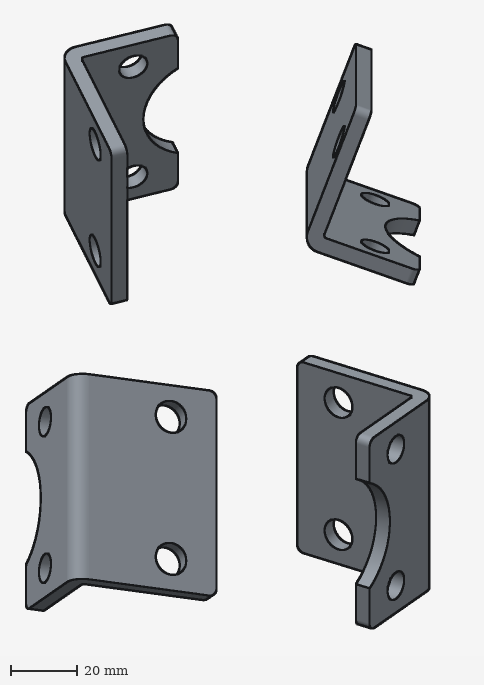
import cadquery as cq

width = 47.0
depth = 36.0
height = 65.0
thickness = 5.0

bend_outer_radius = thickness
bend_inner_radius = 1.0
corner_radius = 2.5

wide_hole_diameter = 10.0
wide_hole_x = 32.0
wide_hole_spacing = 45.0

short_hole_diameter = 9.0
short_hole_y = 21.7
short_hole_spacing = 46.4
cutout_radius = 20.0
cutout_center_y = 45.0

mid_height = height / 2


def make_angle():
    """L-shaped bent plate with the free corners of both legs rounded."""
    body = (
        cq.Workplane("XY")
        .polyline([
            (0, 0),
            (width, 0),
            (width, thickness),
            (thickness, thickness),
            (thickness, depth),
            (0, depth),
        ])
        .close()
        .extrude(height)
    )
    outer_bend = cq.selectors.NearestToPointSelector((0, 0, mid_height))
    inner_bend = cq.selectors.NearestToPointSelector((thickness, thickness, mid_height))
    body = body.edges(outer_bend).fillet(bend_outer_radius)
    body = body.edges(inner_bend).fillet(bend_inner_radius)
    body = body.faces(">X").edges("|Y").fillet(corner_radius)
    return body.faces(">Y").edges("|X").fillet(corner_radius)


def hole_heights(spacing):
    """Heights of a hole pair placed evenly about mid-height."""
    return [mid_height - spacing / 2, mid_height + spacing / 2]


def wide_leg_holes():
    centers = [(wide_hole_x, z) for z in hole_heights(wide_hole_spacing)]
    return cq.Workplane("XZ").pushPoints(centers).circle(wide_hole_diameter / 2).extrude(-thickness)


def short_leg_holes():
    centers = [(short_hole_y, z) for z in hole_heights(short_hole_spacing)]
    return cq.Workplane("YZ").pushPoints(centers).circle(short_hole_diameter / 2).extrude(thickness)


def edge_cutout():
    """Circular bite out of the free edge of the short leg."""
    return (
        cq.Workplane("YZ")
        .center(cutout_center_y, mid_height)
        .circle(cutout_radius)
        .extrude(thickness)
    )


result = make_angle().cut(wide_leg_holes()).cut(short_leg_holes()).cut(edge_cutout())